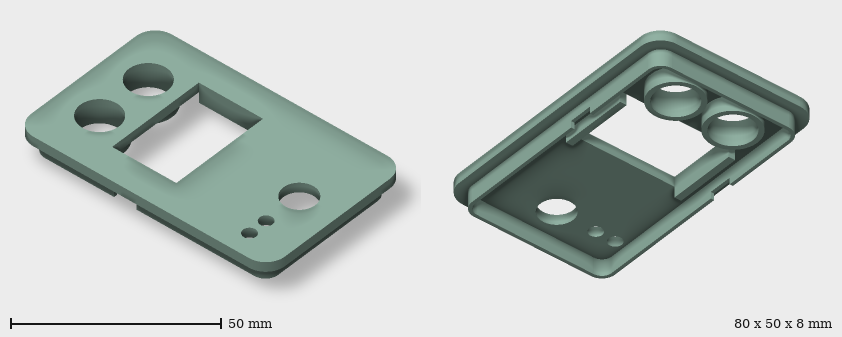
import cadquery as cq

length = 80.0
width = 50.0
height = 8.0
plate_corner_radius = 6.0

skirt_length = 74.0
skirt_inset = (length - skirt_length) / 2
skirt_width = width - 2 * skirt_inset
skirt_corner_radius = 4.0
cavity_length = 72.0
skirt_wall = (skirt_length - cavity_length) / 2
cavity_width = skirt_width - 2 * skirt_wall
cavity_corner_radius = skirt_corner_radius - skirt_wall

plate_thickness = skirt_inset
plate_bottom = height - plate_thickness

window_length = 20.2
window_width = 31.4
window_x = -7.4
window_y = 0.2
rib_thickness = 2.0
rib_bottom = 1.8

notch_length = 7.0
notch_x = -7.7
notch_height = 2.0

collar_hole_diameter = 12.2
collar_diameter = 15.0
collar_x = -27.3
collar_y = 8.8
collar_bottom = 0.5

plain_holes_x = 28.0
button_hole_diameter = 10.0
small_hole_diameter = 4.0
small_hole_ys = (-12.0, -18.0)


def rounded_block(size_x, size_y, bottom, top, corner_radius):
    """Block centred on the Z axis with rounded vertical edges."""
    block = cq.Workplane("XY").workplane(offset=bottom).rect(size_x, size_y).extrude(top - bottom)
    return block.edges("|Z").fillet(corner_radius)


def box_between(size_x, size_y, bottom, top, x, y):
    """Plain box centred at (x, y) between two heights."""
    plane = cq.Workplane("XY").workplane(offset=bottom).center(x, y)
    return plane.rect(size_x, size_y).extrude(top - bottom)


def cylinder_between(diameter, bottom, top, x, y):
    """Vertical cylinder centred at (x, y) between two heights."""
    plane = cq.Workplane("XY").workplane(offset=bottom).center(x, y)
    return plane.circle(diameter / 2).extrude(top - bottom)


def skirt():
    """Closed wall under the plate, notched on both long sides."""
    outer = rounded_block(skirt_length, skirt_width, 0, plate_bottom, skirt_corner_radius)
    cavity = rounded_block(cavity_length, cavity_width, 0, plate_bottom, cavity_corner_radius)
    notch = box_between(notch_length, width, 0, notch_height, notch_x, 0)
    return outer.cut(cavity).cut(notch)


result = rounded_block(length, width, plate_bottom, height, plate_corner_radius).union(skirt())

for side in (-1, 1):
    rib_y = window_y + side * (window_width + rib_thickness) / 2
    rib = box_between(window_length, rib_thickness, rib_bottom, plate_bottom, window_x, rib_y)
    result = result.union(rib)

result = result.cut(box_between(window_length, window_width, 0, height, window_x, window_y))

for side in (-1, 1):
    collar = cylinder_between(collar_diameter, collar_bottom, plate_bottom, collar_x, side * collar_y)
    hole = cylinder_between(collar_hole_diameter, 0, height, collar_x, side * collar_y)
    result = result.union(collar).cut(hole)

result = result.cut(cylinder_between(button_hole_diameter, 0, height, plain_holes_x, 0))
for small_hole_y in small_hole_ys:
    small_hole = cylinder_between(small_hole_diameter, 0, height, plain_holes_x, small_hole_y)
    result = result.cut(small_hole)